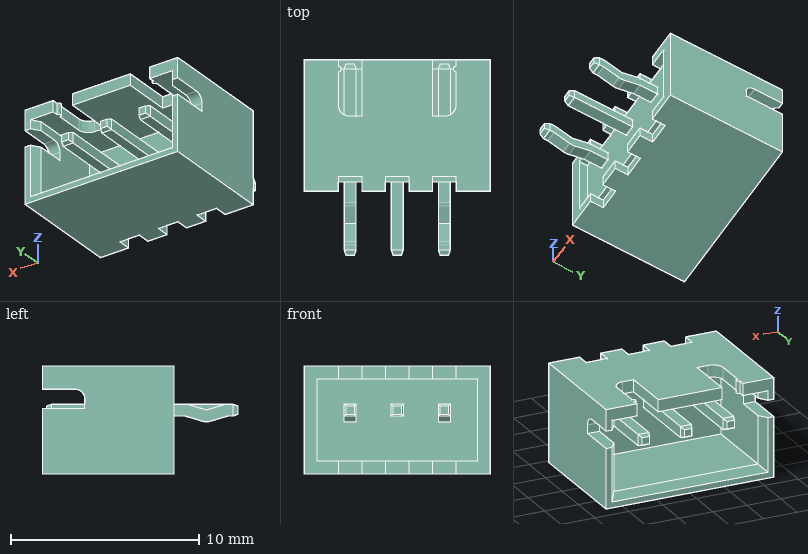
import math
import cadquery as cq


pin_pitch = 2.5
pin_count = 3
pin_side = 0.64
pin_half = pin_side / 2
pin_tail_y = -3.4
pin_contact_y = 6.78
tip_length = 0.28
tip_inset = 0.1

kink_start_y = -0.58
kink_end_y = -2.85
bend_angle = math.radians(16.5)

housing_width = 9.9
housing_depth = 7.0
top_z = 2.35
bottom_z = -3.4
wall = 0.7
inner_width = housing_width - 2 * wall
inner_top_z = top_z - wall
inner_bottom_z = bottom_z + wall

cavity_floor_y = 2.0
flare_length = 0.5
flare_inset = 0.35

recess_depth = 0.5
notch_width = 1.25
notch_depth = 0.8

latch_slot_width = 1.25
latch_slot_length = 3.0
latch_slot_radius = 0.6
bump_radius = 0.15
bump_setback = 0.5
bump_y = housing_depth - bump_setback

side_slot_length = 2.25
side_slot_bottom_z = 0.1
side_slot_top_z = 1.1
side_slot_radius = 0.5

pin_xs = [(i - (pin_count - 1) / 2) * pin_pitch for i in range(pin_count)]
outer_pin_xs = [pin_xs[0], pin_xs[-1]]


def block(x_range, y_range, z_range):
    """Box spanning the given X, Y and Z ranges."""
    sizes = [high - low for low, high in (x_range, y_range, z_range)]
    corner = (x_range[0], y_range[0], z_range[0])
    return cq.Workplane("XY").box(*sizes, centered=False).translate(corner)


def centered_block(x_center, width, y_range, z_range):
    """Box with its X range given by a centre and a width."""
    return block((x_center - width / 2, x_center + width / 2), y_range, z_range)


def mouth_flare():
    """Tapered cut that widens the cavity mouth at the bottom and both sides."""
    half = inner_width / 2
    flared_half = half + flare_inset
    flared_bottom_z = inner_bottom_z - flare_inset
    inner_loop = [(-half, inner_bottom_z), (half, inner_bottom_z), (half, inner_top_z), (-half, inner_top_z)]
    mouth_loop = [
        (-flared_half, flared_bottom_z),
        (flared_half, flared_bottom_z),
        (flared_half, inner_top_z),
        (-flared_half, inner_top_z),
    ]
    return (
        cq.Workplane("XZ", origin=(0, housing_depth - flare_length, 0))
        .polyline(inner_loop).close()
        .workplane(offset=-flare_length)
        .polyline(mouth_loop).close()
        .loft(ruled=True)
    )


def latch_slot(x_center):
    """Top-wall slot around a pin; its outer inside corner is rounded and carries a bump."""
    outward = math.copysign(1, x_center)
    outer_edge = ">X" if outward > 0 else "<X"
    y_range = (housing_depth - latch_slot_length, housing_depth)
    slot = centered_block(x_center, latch_slot_width, y_range, (inner_top_z, top_z))
    slot = slot.edges("|Z").edges(outer_edge).edges("<Y").fillet(latch_slot_radius)
    bump = (
        cq.Workplane("XY", origin=(x_center + outward * latch_slot_width / 2, bump_y, inner_top_z))
        .circle(bump_radius)
        .extrude(wall)
    )
    return slot.cut(bump)


def side_slots():
    """Slot across both side walls, rounded at its upper inside corner."""
    slot = centered_block(
        0, housing_width,
        (housing_depth - side_slot_length, housing_depth),
        (side_slot_bottom_z, side_slot_top_z),
    )
    return slot.edges("|X").edges("<Y").edges(">Z").fillet(side_slot_radius)


def make_pin(x_center, kinked):
    """Square pin with tapered ends, optionally with a V-shaped kink in its tail."""
    profile = cq.Workplane("YZ").moveTo(pin_contact_y, -pin_half).lineTo(pin_contact_y, pin_half)
    if kinked:
        sin_bend, cos_bend = math.sin(bend_angle), math.cos(bend_angle)
        sin_mid, cos_mid = math.sin(bend_angle / 2), math.cos(bend_angle / 2)
        middle_y = (kink_start_y + kink_end_y) / 2
        shoulder_z = -pin_half + pin_side * cos_bend
        shoulder_run = pin_side * sin_bend
        leg_run = kink_start_y - shoulder_run - middle_y
        valley_z = shoulder_z - leg_run * math.tan(bend_angle)
        belly_z = valley_z - pin_side * cos_bend
        profile = (
            profile.lineTo(kink_start_y, pin_half)
            .threePointArc(
                (kink_start_y - pin_side * sin_mid, -pin_half + pin_side * cos_mid),
                (kink_start_y - shoulder_run, shoulder_z),
            )
            .lineTo(middle_y, valley_z)
            .lineTo(kink_end_y + shoulder_run, shoulder_z)
            .threePointArc(
                (kink_end_y + pin_side * sin_mid, -pin_half + pin_side * cos_mid),
                (kink_end_y, pin_half),
            )
            .lineTo(pin_tail_y, pin_half)
            .lineTo(pin_tail_y, -pin_half)
            .lineTo(kink_end_y, -pin_half)
            .lineTo(middle_y - shoulder_run, belly_z)
            .threePointArc((middle_y, valley_z - pin_side), (middle_y + shoulder_run, belly_z))
            .lineTo(kink_start_y, -pin_half)
        )
    else:
        profile = profile.lineTo(pin_tail_y, pin_half).lineTo(pin_tail_y, -pin_half)
    pin = profile.close().extrude(pin_half, both=True)
    return pin.intersect(pin_envelope()).translate((x_center, 0, 0))


def pin_envelope():
    """Bounds of a pin: a tall bar along its length that narrows to a blunt point at each end."""
    tail_shoulder_y = pin_tail_y + tip_length
    contact_shoulder_y = pin_contact_y - tip_length
    tip_side = pin_side - 2 * tip_inset
    below_kink_z = -2 * pin_side
    shank_y = (tail_shoulder_y, contact_shoulder_y)
    envelope = centered_block(0, pin_side, shank_y, (below_kink_z, pin_half))
    for shoulder_y, outward in ((tail_shoulder_y, -1), (contact_shoulder_y, 1)):
        tip = (
            cq.Workplane("XZ", origin=(0, shoulder_y, 0))
            .rect(pin_side, pin_side)
            .workplane(offset=-outward * tip_length)
            .rect(tip_side, tip_side)
            .loft(ruled=True)
        )
        envelope = envelope.union(tip)
    return envelope


def make_housing():
    """Open-mouthed shroud with its slots, notches and snug pin holes."""
    housing = centered_block(0, housing_width, (0, housing_depth), (bottom_z, top_z))
    inner_z = (inner_bottom_z, inner_top_z)
    housing = housing.cut(centered_block(0, inner_width, (cavity_floor_y, housing_depth), inner_z))
    housing = housing.cut(mouth_flare())
    housing = housing.cut(centered_block(0, inner_width, (0, recess_depth), inner_z))
    for x in pin_xs:
        for notch_z in ((inner_top_z, top_z), (bottom_z, inner_bottom_z)):
            housing = housing.cut(centered_block(x, notch_width, (0, notch_depth), notch_z))
        pin_hole_y = (recess_depth, cavity_floor_y)
        housing = housing.cut(centered_block(x, pin_side, pin_hole_y, (-pin_half, pin_half)))
    for x in outer_pin_xs:
        housing = housing.cut(latch_slot(x))
    return housing.cut(side_slots())


housing = make_housing()
pins = [make_pin(x, kinked=x in outer_pin_xs) for x in pin_xs]

result = cq.Compound.makeCompound([housing.val(), *[pin.val() for pin in pins]])